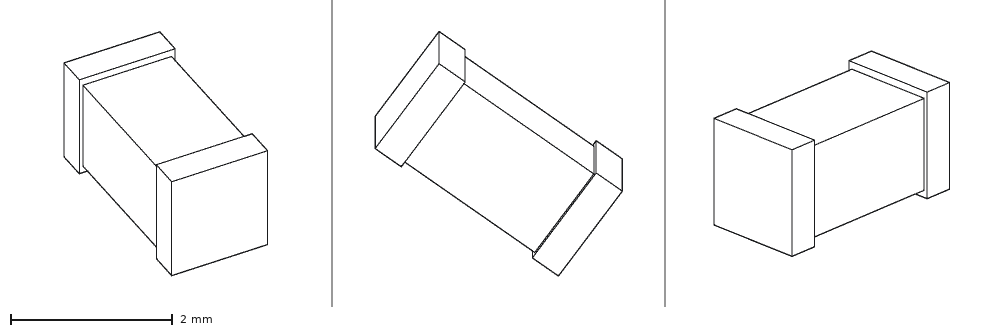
import cadquery as cq

total_length = 2.8
terminal_length = 0.4
terminal_width = 1.35
terminal_height = 1.45
body_side = 1.25

body_length = total_length - 2 * terminal_length
terminal_offset = (total_length - terminal_length) / 2


def make_body():
    """Square bar that fills the space between the terminals."""
    return cq.Workplane("XY").box(body_length, body_side, body_side)


def make_terminal(center_x):
    """End block that stands proud of the body on all four sides."""
    terminal = cq.Workplane("XY").box(terminal_length, terminal_width, terminal_height)
    return terminal.translate((center_x, 0, 0))


body = make_body()

terminals = []
for side in (-1, 1):
    terminals.append(make_terminal(side * terminal_offset).val())

result = cq.Compound.makeCompound([body.val(), *terminals])